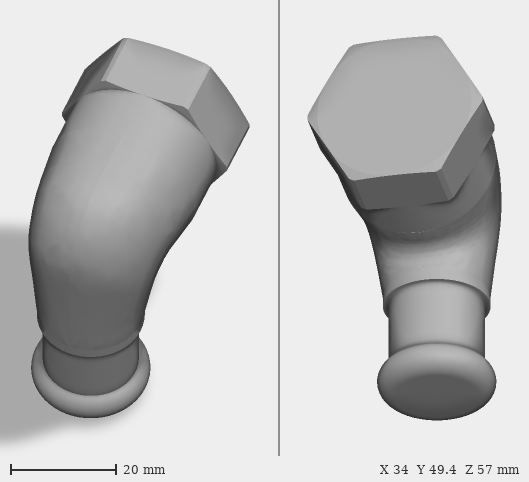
import cadquery as cq
import math


total_height = 57.0
hex_end_y = 38.0

neck_diameter = 30.0
neck_radius = neck_diameter / 2
hex_across_flats = neck_diameter
sharp_hex_diameter = hex_across_flats / math.cos(math.pi / 6)
hex_across_corners = 34.0
hex_length = 12.0
hex_chamfer_depth = 0.45
neck_start_y = 15.95
hex_axis_z = total_height - neck_radius

tube_diameter = 18.3
bead_diameter = 22.7
bead_section_radius = 3.25
collar_diameter = 20.5
collar_radius = collar_diameter / 2
collar_bottom_z = 19.9
collar_top_z = 22.1
flare_radius = 0.5

outer_bend_radius = 14.55
inner_bend_radius = 2.55
bend_start_width = 28.05
bend_end_width = 23.95
bend_steps = 6
lead_steps = 4


def disc(diameter, bottom_z, top_z):
    """Cylinder on the spigot axis."""
    return cq.Workplane("XY").workplane(offset=bottom_z).circle(diameter / 2).extrude(top_z - bottom_z)


def make_spigot():
    """Tube with a rolled bead at its mouth and a collar at the bend."""
    tube = disc(tube_diameter, bead_section_radius, collar_bottom_z)
    collar = disc(collar_diameter, collar_bottom_z, collar_top_z)
    bead_center_radius = bead_diameter / 2 - bead_section_radius
    bead = (
        cq.Workplane("XZ")
        .lineTo(bead_center_radius, 0)
        .threePointArc(
            (bead_diameter / 2, bead_section_radius),
            (bead_center_radius, 2 * bead_section_radius),
        )
        .lineTo(0, 2 * bead_section_radius)
        .close()
        .revolve(360, (0, 0), (0, 1))
    )
    flare = (
        cq.Workplane("XZ")
        .moveTo(0, collar_bottom_z - flare_radius)
        .lineTo(tube_diameter / 2, collar_bottom_z - flare_radius)
        .radiusArc((tube_diameter / 2 + flare_radius, collar_bottom_z), flare_radius)
        .lineTo(0, collar_bottom_z)
        .close()
        .revolve(360, (0, 0), (0, 1))
    )
    return bead.union(tube).union(flare).union(collar)


def make_hex_leg():
    """Round neck and a hexagon with flats up and down, turned down and chamfered at both ends."""
    neck = (
        cq.Workplane("XZ", origin=(0, hex_end_y, hex_axis_z))
        .circle(neck_radius)
        .extrude(hex_end_y - neck_start_y)
    )
    hexagon = (
        cq.Workplane("XZ", origin=(0, hex_end_y, hex_axis_z))
        .polygon(6, sharp_hex_diameter)
        .extrude(hex_length)
    )
    corner_radius = hex_across_corners / 2
    turned_blank = (
        cq.Workplane("XY", origin=(0, hex_end_y - hex_length, hex_axis_z))
        .lineTo(neck_radius, 0)
        .lineTo(corner_radius, hex_chamfer_depth)
        .lineTo(corner_radius, hex_length - hex_chamfer_depth)
        .lineTo(neck_radius, hex_length)
        .lineTo(0, hex_length)
        .close()
        .revolve(360, (0, 0), (0, 1))
    )
    return neck.union(hexagon.intersect(turned_blank))


def arc_point(center, radius, angle):
    """(Y, Z) point on a bend arc; the angle turns from +Z toward -Y."""
    return (center[0] - radius * math.sin(angle), center[1] + radius * math.cos(angle))


def blend(start, end, fraction):
    """Section part of the way from one (outer point, inner point, width) section to another."""
    outer_point = tuple(a + fraction * (b - a) for a, b in zip(start[0], end[0]))
    inner_point = tuple(a + fraction * (b - a) for a, b in zip(start[1], end[1]))
    width = start[2] + fraction * (end[2] - start[2])
    return (outer_point, inner_point, width)


def section_wire(outer_point, inner_point, width):
    """Elliptical wire across the bend, through an outer and an inner (Y, Z) point on the plane X = 0."""
    across_y = outer_point[0] - inner_point[0]
    across_z = outer_point[1] - inner_point[1]
    center_y = (outer_point[0] + inner_point[0]) / 2
    center_z = (outer_point[1] + inner_point[1]) / 2
    plane = cq.Plane(origin=(0, center_y, center_z), xDir=(1, 0, 0), normal=(0, -across_z, across_y))
    half_height = math.hypot(across_y, across_z) / 2
    return cq.Workplane(plane).ellipse(width / 2, half_height).val()


def make_bend():
    """Loft from the neck circle to the collar circle through ellipses that follow both bend arcs."""
    neck_bottom_z = total_height - neck_diameter
    outer_center = (outer_bend_radius - collar_radius, total_height - outer_bend_radius)
    inner_center = (collar_radius + inner_bend_radius, neck_bottom_z - inner_bend_radius)

    neck_end = ((neck_start_y, total_height), (neck_start_y, neck_bottom_z), neck_diameter)
    collar_end = ((-collar_radius, collar_top_z), (collar_radius, collar_top_z), collar_diameter)
    turns = []
    for index in range(bend_steps + 1):
        turn = index / bend_steps
        angle = turn * math.pi / 2
        turns.append(
            (
                arc_point(outer_center, outer_bend_radius, angle),
                arc_point(inner_center, inner_bend_radius, angle),
                bend_start_width + turn * (bend_end_width - bend_start_width),
            )
        )
    lead_in = [blend(neck_end, turns[0], step / lead_steps) for step in range(lead_steps)]
    lead_out = [blend(turns[-1], collar_end, (step + 1) / lead_steps) for step in range(lead_steps)]
    wires = [section_wire(*section) for section in lead_in + turns + lead_out]
    return cq.Workplane(cq.Solid.makeLoft(wires))


result = make_spigot().union(make_bend()).union(make_hex_leg())